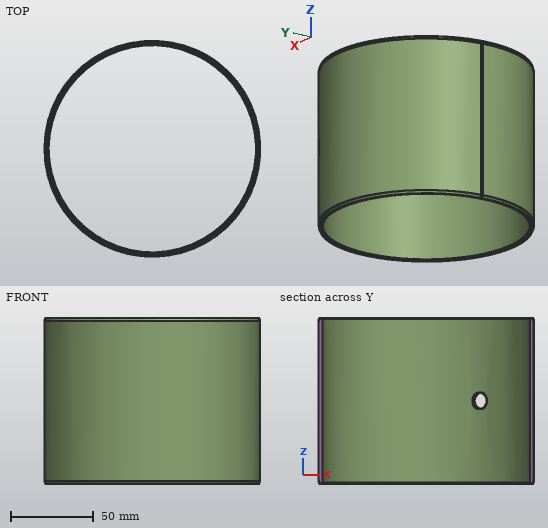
import cadquery as cq
import math

outer_diameter = 130.0
wall_thickness = 2.5
length = 100.0

outer_chamfer_axial = 1.8
outer_chamfer_angle = 20.0
bore_chamfer = 0.8

joint_angle = 180.0
slit_angle = 1.0

oil_hole_diameter = 10.0
oil_hole_angle = 59.0

outer_radius = outer_diameter / 2
bore_radius = outer_radius - wall_thickness
half_length = length / 2
outer_chamfer_radial = outer_chamfer_axial * math.tan(math.radians(outer_chamfer_angle))


def bush_wall():
    """Revolve the chamfered wall section around Z, leaving the slit open at the joint."""
    chamfer_end = half_length - outer_chamfer_axial
    end_face_radius = outer_radius - outer_chamfer_radial
    bore_edge_radius = bore_radius + bore_chamfer
    bore_edge_height = half_length - bore_chamfer
    section = [
        (bore_radius, -bore_edge_height),
        (bore_edge_radius, -half_length),
        (end_face_radius, -half_length),
        (outer_radius, -chamfer_end),
        (outer_radius, chamfer_end),
        (end_face_radius, half_length),
        (bore_edge_radius, half_length),
        (bore_radius, bore_edge_height),
    ]
    profile = cq.Workplane("XZ").polyline(section).close()
    wall = profile.revolve(360 - slit_angle, (0, 0), (0, 1))
    return wall.rotate((0, 0, 0), (0, 0, 1), joint_angle)


def oil_hole_cutter():
    """Radial cylinder from the axis out through the wall."""
    cylinder = cq.Workplane("YZ").circle(oil_hole_diameter / 2).extrude(outer_diameter)
    return cylinder.rotate((0, 0, 0), (0, 0, 1), oil_hole_angle)


result = bush_wall().cut(oil_hole_cutter())